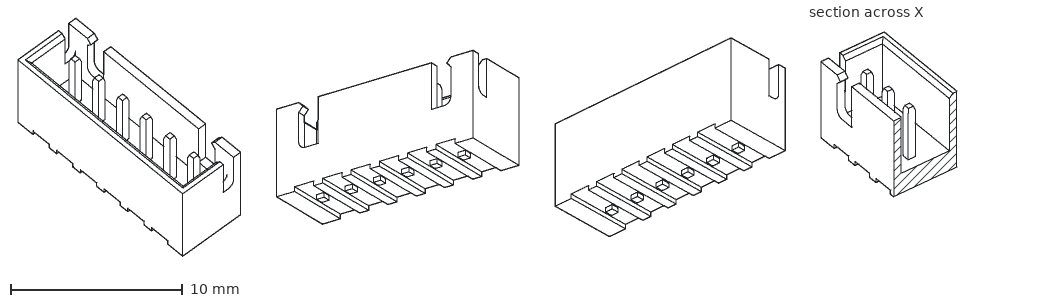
import cadquery as cq


length = 14.01
width = 4.63
height = 5.63
wall = 0.57
floor_top = 1.5
rim_chamfer = 0.26

end_slot_depth = 2.5
back_slot_depth = 3.0
slot_radius = 0.48
arm_length = 1.58
back_slot_width = 1.39
end_slot_width = 0.81
hook_reach = 0.3
hook_slope_height = 0.32

pin_count = 6
pin_pitch = 2.0145
pin_size = 0.52
pin_tip_size = 0.36
pin_taper_height = 0.28
pin_top = 5.21
pin_back_distance = 1.9

channel_width = 1.37
channel_depth = 0.3

half_length = length / 2
half_width = width / 2
back_inner_y = half_width - wall
arm_end_x = -half_length + arm_length
pin_y = half_width - pin_back_distance
pin_xs = [(i - (pin_count - 1) / 2) * pin_pitch for i in range(pin_count)]


def make_housing():
    """Open-top box with the inner rim chamfered on the front and both ends."""
    cavity_length = length - 2 * wall
    cavity_width = width - 2 * wall
    box = cq.Workplane("XY").box(length, width, height, centered=(True, True, False))
    cavity = (
        cq.Workplane("XY", origin=(0, 0, floor_top))
        .rect(cavity_length, cavity_width)
        .extrude(height - floor_top)
    )
    flare = (
        cq.Workplane("XY", origin=(0, 0, height - rim_chamfer))
        .rect(cavity_length, cavity_width)
        .workplane(offset=rim_chamfer)
        .rect(cavity_length + 2 * rim_chamfer, cavity_width + 2 * rim_chamfer)
        .loft(ruled=True)
    )
    ahead_of_back_wall = (
        cq.Workplane("XY", origin=(0, -wall, 0))
        .box(length, width, height, centered=(True, True, False))
    )
    return box.cut(cavity).cut(flare.intersect(ahead_of_back_wall))


def slot_outline(workplane, arm_edge, far_edge, depth):
    """Open-top slot outline, rounded only in the lower corner next to the latch arm."""
    slot_bottom = height - depth
    toward_far = 1 if far_edge > arm_edge else -1
    return (
        workplane.moveTo(arm_edge, height)
        .lineTo(arm_edge, slot_bottom + slot_radius)
        .radiusArc((arm_edge + toward_far * slot_radius, slot_bottom), -toward_far * slot_radius)
        .lineTo(far_edge, slot_bottom)
        .lineTo(far_edge, height)
        .close()
    )


def make_end_slots():
    """Slot through both end walls, just in front of the back wall."""
    plane = cq.Workplane("YZ", origin=(-half_length, 0, 0))
    return slot_outline(plane, back_inner_y, back_inner_y - end_slot_width, end_slot_depth).extrude(length)


def make_left_back_slot():
    """Slot through the back wall that frees the left latch arm."""
    plane = cq.Workplane("XZ", origin=(0, half_width, 0))
    return slot_outline(plane, arm_end_x, arm_end_x + back_slot_width, back_slot_depth).extrude(wall)


def make_left_hook():
    """Triangular hook at the top of the left arm, pointing along the back wall."""
    return (
        cq.Workplane("XZ", origin=(0, half_width, 0))
        .moveTo(arm_end_x, height)
        .lineTo(arm_end_x + hook_reach, height - hook_slope_height)
        .lineTo(arm_end_x, height - 2 * hook_slope_height)
        .close()
        .extrude(wall)
    )


def make_channel(x):
    """Clearance channel running front to back under one pin."""
    return (
        cq.Workplane("XY", origin=(x, 0, 0))
        .box(channel_width, width, channel_depth, centered=(True, True, False))
    )


def make_pin(x):
    """Square pin from the underside to a tapered tip."""
    shank_top = pin_top - pin_taper_height
    shank = cq.Workplane("XY", origin=(x, pin_y, 0)).rect(pin_size, pin_size).extrude(shank_top)
    tip = (
        cq.Workplane("XY", origin=(x, pin_y, shank_top))
        .rect(pin_size, pin_size)
        .workplane(offset=pin_taper_height)
        .rect(pin_tip_size, pin_tip_size)
        .loft(ruled=True)
    )
    return shank.union(tip)


result = make_housing().cut(make_end_slots())

left_slot = make_left_back_slot()
result = result.cut(left_slot).cut(left_slot.mirror("YZ"))

left_hook = make_left_hook()
result = result.union(left_hook).union(left_hook.mirror("YZ"))

for pin_x in pin_xs:
    result = result.cut(make_channel(pin_x)).union(make_pin(pin_x))